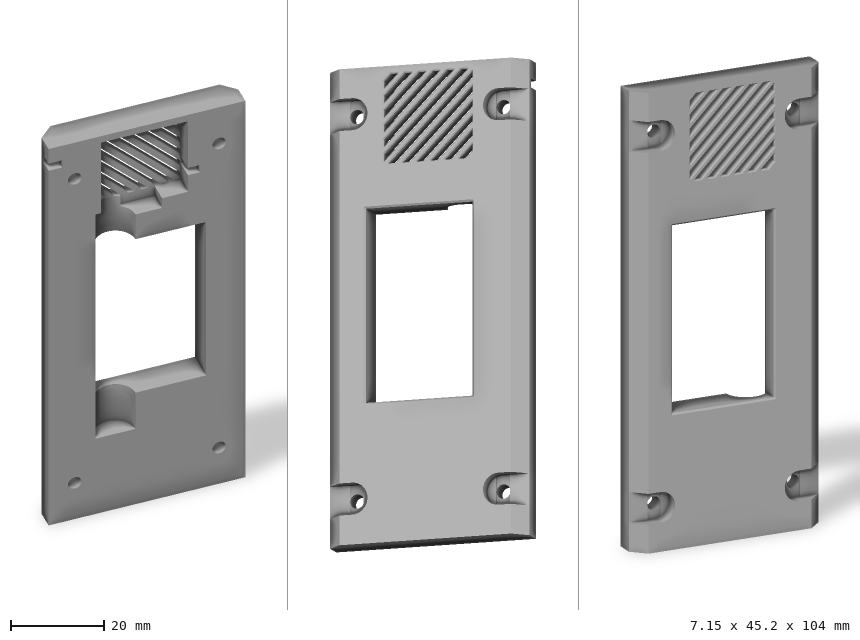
import cadquery as cq
thickness = 7.15
width = 45.2
height = 104.0
bevel_depth = 3.0
bevel_width = 3.15

screw_diameter = 3.1
seat_width = 7.0
screw_edge_y = 6.0
screw_edge_z = 10.0
seat_depth = bevel_depth
step_depth = 0.3

window_chamfer = 0.4
vent_chamfer = 0.25
opening_min_y = -10.6
window_width = 24.2
window_height = 42.4
vent_width = 20.0
vent_height = 19.5
vent_top_margin = 1.75

grille_thickness = 2.75
slot_width = 1.1
slot_pitch = 2.25
slot_count = 12
slot_angle = 45.0

channel_radius = 4.6
channel_center_y = -7.25
channel_length_below_window = 10.0
pocket_step_width = 8.1
pocket_step_drop = 2.7
wall_groove_height = 2.0
wall_groove_offset = 4.6
wall_groove_length = 2.7
side_notch_height = 2.0
side_notch_top_margin = 4.0
side_notch_depth = 3.15

window_center_y = opening_min_y + window_width / 2
window_bottom_z = -window_height / 2
vent_center_y = opening_min_y + vent_width / 2
vent_max_y = opening_min_y + vent_width
vent_center_z = height / 2 - vent_top_margin - vent_height / 2
vent_bottom_z = vent_center_z - vent_height / 2


def block(x_limits, y_limits, z_limits):
    """Axis-aligned box between the given pairs of limits."""
    limits = (x_limits, y_limits, z_limits)
    sizes = [abs(end - start) for start, end in limits]
    corner = tuple(min(pair) for pair in limits)
    return cq.Workplane("XY").box(*sizes, centered=False).translate(corner)


def sketch_plane(x, y, z):
    """Sketch plane facing +X with its origin at the given point; local axes are Y and Z."""
    return cq.Workplane("YZ", origin=(x, y, z))


def plate():
    """Plate with its two long outer edges bevelled."""
    side_y = width / 2
    face_y = side_y - bevel_width
    outline = [
        (thickness, -side_y),
        (thickness, side_y),
        (bevel_depth, side_y),
        (0, face_y),
        (0, -face_y),
        (bevel_depth, -side_y),
    ]
    return cq.Workplane("XY", origin=(0, 0, -height / 2)).polyline(outline).close().extrude(height)


def screw_seat(side_y, side_z):
    """Round-ended seat open to the side, the step across its floor and the screw hole."""
    y = side_y * (width / 2 - screw_edge_y)
    z = side_z * (height / 2 - screw_edge_z)
    full_depth = seat_depth + step_depth
    z_limits = (z - seat_width / 2, z + seat_width / 2)
    mouth = block((0, full_depth), (y, side_y * width / 2), z_limits)
    seat = sketch_plane(0, y, z).circle(seat_width / 2).extrude(full_depth).union(mouth)
    step = sketch_plane(0, y, z).rect(screw_diameter, seat_width).extrude(full_depth)
    hole = sketch_plane(0, y, z).circle(screw_diameter / 2).extrude(thickness)
    shallow_seat = seat.intersect(block((0, seat_depth), (-width, width), z_limits))
    return shallow_seat.union(seat.intersect(step)).union(hole)


def with_rim_chamfer(opening, chamfer):
    """Widen a straight opening towards the outer face by a 45 degree chamfer."""
    outline = opening.faces("<X").wires().val()
    rim = (
        cq.Workplane("YZ")
        .add(outline.translate(cq.Vector(chamfer, 0, 0)))
        .toPending()
        .extrude(-chamfer, taper=-45)
    )
    return opening.union(rim)


def window():
    """Rectangular window through the plate."""
    opening = sketch_plane(0, window_center_y, 0).rect(window_width, window_height).extrude(thickness)
    return with_rim_chamfer(opening, window_chamfer)


def vent():
    """Pocket from the back face and the diagonal slots that open it to the outside."""
    area = sketch_plane(0, vent_center_y, vent_center_z).rect(vent_width, vent_height).extrude(thickness)
    pocket = area.intersect(block((grille_thickness, thickness), (-width, width), (-height, height)))
    slot_length = vent_width + vent_height
    for index in range(slot_count):
        offset = (index - (slot_count - 1) / 2) * slot_pitch
        band = (
            sketch_plane(0, vent_center_y, vent_center_z)
            .transformed(rotate=(0, 0, -slot_angle))
            .center(0, offset)
            .rect(slot_length, slot_width)
            .extrude(grille_thickness)
        )
        pocket = pocket.union(with_rim_chamfer(band.intersect(area), vent_chamfer))
    return pocket


def wire_channel():
    """Round channel in the back face from the vent pocket down past the window."""
    bottom_z = window_bottom_z - channel_length_below_window
    return (
        cq.Workplane("XY", origin=(thickness, channel_center_y, bottom_z))
        .circle(channel_radius)
        .extrude(vent_bottom_z - bottom_z)
    )


def pocket_step():
    """Step in the floor of the vent pocket."""
    half = pocket_step_width / 2
    return block(
        (grille_thickness, thickness),
        (vent_center_y - half, vent_center_y + half),
        (vent_bottom_z - pocket_step_drop, vent_bottom_z),
    )


def wall_groove():
    """Short groove in the +Y wall of the vent pocket."""
    bottom_z = vent_bottom_z + wall_groove_offset
    return block(
        (grille_thickness, thickness),
        (vent_max_y, vent_max_y + wall_groove_length),
        (bottom_z, bottom_z + wall_groove_height),
    )


def side_notch():
    """Notch in the -Y side, open to the back face."""
    top_z = height / 2 - side_notch_top_margin
    return block(
        (thickness - side_notch_depth, thickness),
        (-width / 2, -width / 2 + side_notch_depth),
        (top_z - side_notch_height, top_z),
    )


result = plate()
for side_y in (-1, 1):
    for side_z in (-1, 1):
        result = result.cut(screw_seat(side_y, side_z))
for recess in (window(), vent(), wire_channel(), pocket_step(), wall_groove(), side_notch()):
    result = result.cut(recess)